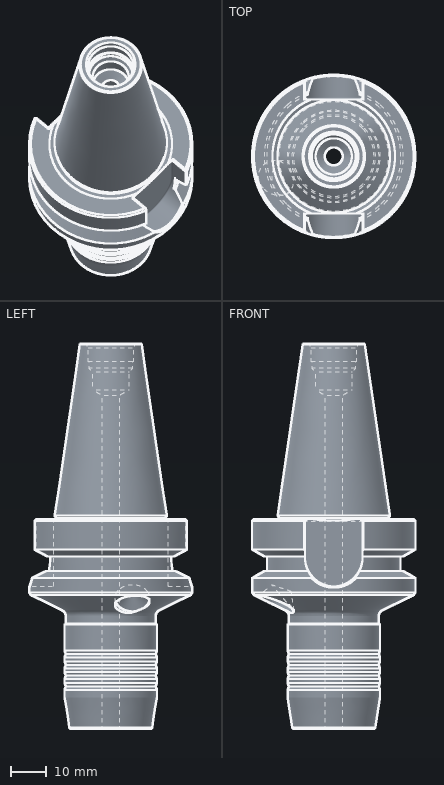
import cadquery as cq
import math

total_height = 108.4
gauge_height = 60.0
flange_top = 59.1

gauge_radius = 15.8
taper_ratio = 7 / 24
taper_tip_radius = gauge_radius - (total_height - gauge_height) * taper_ratio / 2
tip_chamfer = 0.3

gauge_chamfer = 0.4
gauge_chamfer_height = 0.7
undercut_depth = 0.7
undercut_rim_radius = 17.2

flange_radius = 23.0
flange_bottom = 37.9
flange_chamfer = 0.5
groove_flank_radius = 19.5
groove_floor_radius = 18.9
groove_upper_edge = 50.5
groove_lower_edge = 42.5
groove_angle = 30.0
groove_flank_height = (flange_radius - groove_flank_radius) * math.tan(math.radians(groove_angle))

cone_angle = 26.0
neck_radius = 12.7
neck_bottom = 29.7
neck_fillet = 1.8

nose_radius = 13.0
nose_end_radius = 11.7
nose_cone_height = 8.8
nose_chamfer = 0.4
nose_edge_chamfer = 0.3

ring_count = 4
ring_pitch = 3.0
ring_width = 2.0
ring_depth = 0.3
lowest_ring_height = 12.0

mouth_radius = 6.9
relief_radius = 6.4
pilot_radius = 6.2
thread_radius = 5.1
bore_radius = 2.5
mouth_depth = 1.3
relief_depth = 5.1
pilot_depth = 6.9
shoulder_angle = 45.0
thread_depth = 13.0
drill_point_angle = 118.0
drill_point_slope = math.tan(math.radians(90 - drill_point_angle / 2))

slot_width = 16.2
slot_floor_offset = 16.0
slot_bottom = 40.1
slot_floor_fillet = 0.4
slot_mouth_chamfer = 0.3

screw_hole_radius = 4.9
screw_hole_x = -16.3
screw_hole_y = -6.1
screw_hole_depth = 2.6
screw_hole_lean = 50.0


def revolve_profile(profile):
    """Revolve a closed radius-height outline around the Z axis."""
    return profile.close().revolve(360, (0, 0, 0), (0, 1, 0))


def body():
    """Outer shape of the holder."""
    cone_top_radius = flange_radius - flange_chamfer
    cone_top = flange_bottom - flange_chamfer / 2
    cone_slope = math.radians(cone_angle)
    cone_foot = cone_top - (cone_top_radius - neck_radius) * math.tan(cone_slope)
    blend = neck_fillet * math.tan((math.pi / 2 - cone_slope) / 2)
    blend_centre = (neck_radius + neck_fillet, cone_foot - blend)
    mid_turn = math.pi - (math.pi / 2 - cone_slope) / 2
    blend_middle = (
        blend_centre[0] + neck_fillet * math.cos(mid_turn),
        blend_centre[1] + neck_fillet * math.sin(mid_turn),
    )
    blend_end = (
        neck_radius + blend * math.cos(cone_slope),
        cone_foot + blend * math.sin(cone_slope),
    )
    undercut_radius = gauge_radius - gauge_chamfer
    profile = (
        cq.Workplane("XZ")
        .lineTo(nose_end_radius - nose_chamfer, 0)
        .lineTo(nose_end_radius, nose_chamfer)
        .lineTo(nose_radius, nose_cone_height)
        .lineTo(nose_radius, neck_bottom - nose_edge_chamfer)
        .lineTo(neck_radius, neck_bottom)
        .lineTo(neck_radius, cone_foot - blend)
        .threePointArc(blend_middle, blend_end)
        .lineTo(cone_top_radius, cone_top)
        .lineTo(flange_radius, flange_bottom + flange_chamfer)
        .lineTo(flange_radius, groove_lower_edge)
        .lineTo(groove_flank_radius, groove_lower_edge + groove_flank_height)
        .lineTo(groove_floor_radius, groove_lower_edge + groove_flank_height)
        .lineTo(groove_floor_radius, groove_upper_edge - groove_flank_height)
        .lineTo(groove_flank_radius, groove_upper_edge - groove_flank_height)
        .lineTo(flange_radius, groove_upper_edge)
        .lineTo(flange_radius, flange_top - flange_chamfer)
        .lineTo(flange_radius - flange_chamfer, flange_top)
        .lineTo(undercut_rim_radius, flange_top)
        .lineTo(undercut_radius, flange_top - undercut_depth)
        .lineTo(undercut_radius, gauge_height - gauge_chamfer_height)
        .lineTo(gauge_radius, gauge_height)
        .lineTo(taper_tip_radius, total_height - tip_chamfer)
        .lineTo(taper_tip_radius - tip_chamfer, total_height)
        .lineTo(0, total_height)
    )
    return revolve_profile(profile)


def nose_ring(height):
    """V-shaped ring cut, centred at the given height."""
    profile = (
        cq.Workplane("XZ")
        .moveTo(nose_radius, height - ring_width / 2)
        .lineTo(nose_radius - ring_depth, height)
        .lineTo(nose_radius, height + ring_width / 2)
        .lineTo(nose_radius + ring_depth, height)
    )
    return revolve_profile(profile)


def bore():
    """Stepped bore entering from the small end of the taper and running through."""
    shoulder_depth = pilot_depth + (pilot_radius - thread_radius) * math.tan(math.radians(shoulder_angle))
    drill_point_depth = thread_depth + (thread_radius - bore_radius) * drill_point_slope
    profile = (
        cq.Workplane("XZ")
        .lineTo(bore_radius, 0)
        .lineTo(bore_radius, total_height - drill_point_depth)
        .lineTo(thread_radius, total_height - thread_depth)
        .lineTo(thread_radius, total_height - shoulder_depth)
        .lineTo(pilot_radius, total_height - pilot_depth)
        .lineTo(pilot_radius, total_height - relief_depth)
        .lineTo(relief_radius, total_height - relief_depth)
        .lineTo(relief_radius, total_height - mouth_depth)
        .lineTo(mouth_radius, total_height)
        .lineTo(0, total_height)
    )
    return revolve_profile(profile)


def drive_slot():
    """Round-bottomed slot on the -Y side, with a filleted floor edge."""
    half_width = slot_width / 2
    arc_centre = slot_bottom + half_width
    slot_top = gauge_height + half_width
    slot = (
        cq.Workplane("XZ", origin=(0, -slot_floor_offset, 0))
        .moveTo(-half_width, slot_top)
        .lineTo(-half_width, arc_centre)
        .threePointArc((0, slot_bottom), (half_width, arc_centre))
        .lineTo(half_width, slot_top)
        .close()
        .extrude(flange_radius)
    )
    return slot.faces(">Y").edges().fillet(slot_floor_fillet)


def slot_mouth():
    """Wedges that break the upper-flange edges of the slot on the -Y side."""
    half_width = slot_width / 2
    mouth_half_width = half_width + slot_mouth_chamfer
    corner_y = -math.sqrt(flange_radius**2 - mouth_half_width**2)
    corner_chamfer = (
        cq.Workplane("XY", origin=(0, 0, groove_upper_edge - groove_flank_height))
        .moveTo(-half_width, corner_y + slot_mouth_chamfer)
        .lineTo(-mouth_half_width, corner_y)
        .lineTo(-mouth_half_width, -flange_radius)
        .lineTo(mouth_half_width, -flange_radius)
        .lineTo(mouth_half_width, corner_y)
        .lineTo(half_width, corner_y + slot_mouth_chamfer)
        .close()
        .extrude(flange_top - groove_upper_edge + groove_flank_height)
    )
    top_chamfer = (
        cq.Workplane("XZ", origin=(0, -slot_floor_offset, 0))
        .moveTo(-half_width, flange_top - slot_mouth_chamfer)
        .lineTo(-mouth_half_width, flange_top)
        .lineTo(mouth_half_width, flange_top)
        .lineTo(half_width, flange_top - slot_mouth_chamfer)
        .close()
        .extrude(flange_radius - slot_floor_offset)
    )
    return corner_chamfer.union(top_chamfer)


def screw_hole():
    """Blind drilled hole entering the cone under the flange, leaning up and inward."""
    reach = math.hypot(screw_hole_x, screw_hole_y)
    entry_height = flange_bottom - (flange_radius - reach) * math.tan(math.radians(cone_angle))
    point_depth = screw_hole_depth + screw_hole_radius * drill_point_slope
    drill = (
        cq.Workplane("XZ")
        .moveTo(0, -flange_radius)
        .lineTo(screw_hole_radius, -flange_radius)
        .lineTo(screw_hole_radius, screw_hole_depth)
        .lineTo(0, point_depth)
    )
    return (
        revolve_profile(drill)
        .rotate((0, 0, 0), (0, 1, 0), screw_hole_lean)
        .translate((screw_hole_x, screw_hole_y, entry_height))
    )


result = body().cut(bore())
for index in range(ring_count):
    result = result.cut(nose_ring(lowest_ring_height + index * ring_pitch))
for turn in (0, 180):
    result = result.cut(drive_slot().union(slot_mouth()).rotate((0, 0, 0), (0, 0, 1), turn))
for side in (-1, 1):
    rim_middle = (0, side * flange_radius, slot_bottom)
    result = result.edges(cq.selectors.NearestToPointSelector(rim_middle)).chamfer(slot_mouth_chamfer)
result = result.cut(screw_hole())